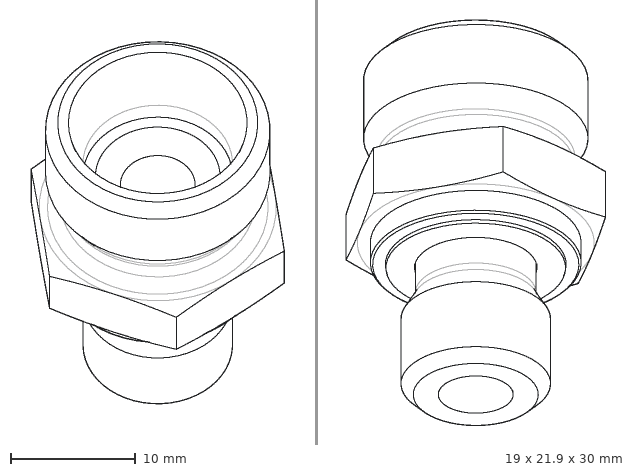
import cadquery as cq
import math

total_height = 30.0

stud_diameter = 12.0
stud_neck_diameter = 9.7
stud_thread_top = 7.0
stud_undercut_radius = 1.4

collar_diameter = 16.9
collar_bottom = 12.0
collar_chamfer = 0.18

seal_outer_diameter = 14.4
seal_inner_diameter = 9.8
seal_thickness = 1.5
seal_protrusion = 0.3
groove_diameter = 14.5
groove_top = collar_bottom - seal_protrusion + seal_thickness

hex_across_flats = 19.0
hex_bottom = 14.0
hex_height = 4.98
hex_top = hex_bottom + hex_height
hex_chamfer_angle = 15.0

head_diameter = 18.0
head_neck_diameter = 15.7
head_thread_bottom = 23.6
head_undercut_radius = 0.9
head_root_fillet = 1.0

thread_chamfer = 1.0
undercut_angle = 30.0

bore_diameter = 6.0
countersink_diameter = 10.0
countersink_half_angle = 60.0
tube_seat_diameter = 12.0
tube_seat_depth = 7.0
socket_mouth_diameter = 14.3
socket_half_angle = 12.0


def cone_length(large_diameter, small_diameter, half_angle):
    """Axial length of a cone between two diameters."""
    return (large_diameter - small_diameter) / 2 / math.tan(math.radians(half_angle))


def cylinder(diameter, bottom, top):
    return cq.Workplane("XY").workplane(offset=bottom).circle(diameter / 2).extrude(top - bottom)


def make_threaded_end(diameter, neck_diameter, thread_length, neck_length, undercut_radius):
    """Threaded end rising from z = 0: chamfer, thread, undercut cone, neck."""
    radius = diameter / 2
    neck_radius = neck_diameter / 2
    cone_top = thread_length + cone_length(diameter, neck_diameter, undercut_angle)
    turn = math.radians(undercut_angle)
    tangent_length = undercut_radius * math.tan(turn / 2)
    blend_top = cone_top + tangent_length
    blend_start = (
        neck_radius + tangent_length * math.sin(turn),
        cone_top - tangent_length * math.cos(turn),
    )
    blend_middle = (
        neck_radius + undercut_radius * (1 - math.cos(turn / 2)),
        blend_top - undercut_radius * math.sin(turn / 2),
    )
    return (
        cq.Workplane("XZ")
        .moveTo(0, 0)
        .lineTo(radius - thread_chamfer, 0)
        .lineTo(radius, thread_chamfer)
        .lineTo(radius, thread_length)
        .lineTo(*blend_start)
        .threePointArc(blend_middle, (neck_radius, blend_top))
        .lineTo(neck_radius, neck_length)
        .lineTo(0, neck_length)
        .close()
        .revolve(360, (0, 0, 0), (0, 1, 0))
    )


def make_stud():
    return make_threaded_end(
        stud_diameter, stud_neck_diameter, stud_thread_top, groove_top, stud_undercut_radius
    )


def make_head():
    """Upper threaded end, turned upside down, with a fillet where its neck meets the hexagon."""
    head = make_threaded_end(
        head_diameter,
        head_neck_diameter,
        total_height - head_thread_bottom,
        total_height - hex_top,
        head_undercut_radius,
    )
    head = head.rotate((0, 0, 0), (1, 0, 0), 180).translate((0, 0, total_height))
    neck_radius = head_neck_diameter / 2
    fillet_top = hex_top + head_root_fillet
    arc_offset = head_root_fillet * (1 - math.sqrt(0.5))
    root = (
        cq.Workplane("XZ")
        .moveTo(0, hex_top)
        .lineTo(neck_radius + head_root_fillet, hex_top)
        .threePointArc((neck_radius + arc_offset, hex_top + arc_offset), (neck_radius, fillet_top))
        .lineTo(0, fillet_top)
        .close()
        .revolve(360, (0, 0, 0), (0, 1, 0))
    )
    return head.union(root)


def make_hexagon():
    """Hexagon with corners on the Y axis, its corners chamfered by a cone at both ends."""
    corner_diameter = hex_across_flats / math.cos(math.radians(30))
    flat_radius = hex_across_flats / 2
    corner_radius = corner_diameter / 2
    corner_drop = (corner_radius - flat_radius) * math.tan(math.radians(hex_chamfer_angle))
    prism = (
        cq.Workplane("XY")
        .workplane(offset=hex_bottom)
        .polygon(6, corner_diameter)
        .extrude(hex_height)
        .rotate((0, 0, 0), (0, 0, 1), 30)
    )
    envelope = (
        cq.Workplane("XZ")
        .moveTo(0, hex_bottom)
        .lineTo(flat_radius, hex_bottom)
        .lineTo(corner_radius, hex_bottom + corner_drop)
        .lineTo(corner_radius, hex_top - corner_drop)
        .lineTo(flat_radius, hex_top)
        .lineTo(0, hex_top)
        .close()
        .revolve(360, (0, 0, 0), (0, 1, 0))
    )
    return prism.intersect(envelope)


def make_collar():
    """Collar below the hexagon, with the seal groove open at its lower face."""
    collar = cylinder(collar_diameter, collar_bottom, hex_bottom)
    collar = collar.faces("<Z").edges().chamfer(collar_chamfer)
    return collar.cut(cylinder(groove_diameter, collar_bottom, groove_top))


def make_bore():
    """Through bore, countersink, tube seat and conical socket mouth, as one cutting shape."""
    seat_bottom = total_height - tube_seat_depth
    countersink_bottom = seat_bottom - cone_length(
        countersink_diameter, bore_diameter, countersink_half_angle
    )
    seat_top = total_height - cone_length(
        socket_mouth_diameter, tube_seat_diameter, socket_half_angle
    )
    return (
        cq.Workplane("XZ")
        .moveTo(0, 0)
        .lineTo(bore_diameter / 2, 0)
        .lineTo(bore_diameter / 2, countersink_bottom)
        .lineTo(countersink_diameter / 2, seat_bottom)
        .lineTo(tube_seat_diameter / 2, seat_bottom)
        .lineTo(tube_seat_diameter / 2, seat_top)
        .lineTo(socket_mouth_diameter / 2, total_height)
        .lineTo(0, total_height)
        .close()
        .revolve(360, (0, 0, 0), (0, 1, 0))
    )


def make_fitting():
    blank = make_collar().union(make_hexagon()).union(make_stud()).union(make_head())
    return blank.cut(make_bore())


def make_seal():
    """Flat ring seated against the groove top and standing proud of the collar face."""
    seal_bottom = groove_top - seal_thickness
    ring = cylinder(seal_outer_diameter, seal_bottom, groove_top)
    return ring.cut(cylinder(seal_inner_diameter, seal_bottom, groove_top))


fitting = make_fitting()
seal = make_seal()

result = cq.Compound.makeCompound([fitting.val(), seal.val()])